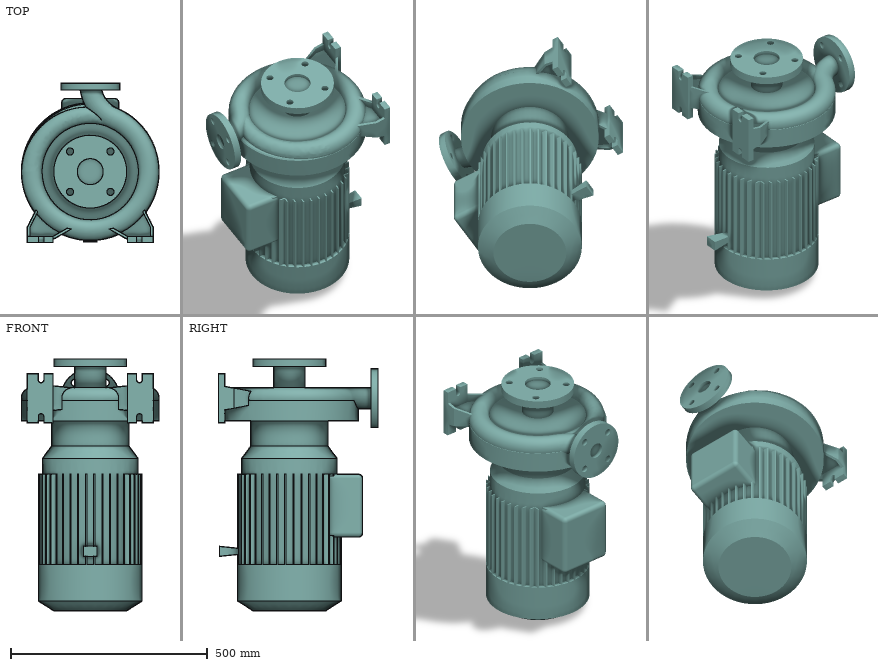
import cadquery as cq
import math


FAN_COVER_RADIUS = 132
FAN_COVER_END_RADIUS = 92.5
FAN_COVER_CONE_TOP_Z = 25
FAN_COVER_TOP_Z = 118
MOTOR_RADIUS = 121.5
FIN_TOP_Z = 347
MOTOR_TOP_Z = 387
LANTERN_BOTTOM_Z = 418
LANTERN_RADIUS = 98.5

FINS_PER_QUARTER = 10
FIN_THICKNESS = 3
FIN_TIP_RADIUS = 132
FIN_ROOT_OVERLAP = 2
FIN_PITCH_ANGLE = 90 / FINS_PER_QUARTER

BOX_WIDTH = 145
BOX_HEIGHT = 160
BOX_FACE_Y = 186
BOX_EDGE_RADIUS = 11

LUG_WIDTH = 34
LUG_HEIGHT = 26
LUG_FACE_Y = -178
LUG_CENTER_Z = 151
LUG_LENGTH = 58
LUG_TAPER = 6

CASING_RADIUS = 175
CASING_BOTTOM_Z = 482
CASING_TOP_Z = 537
CASING_CHAMFER = 3
OUTLET_Z = 540
TUBE_RADIUS = 27
VOLUTE_RADIUS = CASING_RADIUS - TUBE_RADIUS
VOLUTE_INNER_RADIUS = VOLUTE_RADIUS - TUBE_RADIUS
TONGUE_TUBE_RADIUS = 20
TAPER_START_ANGLE = 180
TAPER_SECTIONS = 5
COVER_RIM_Z = 548
COVER_HUB_Z = 560

SUCTION_FACE_Z = 640
SUCTION_FLANGE_RADIUS = 92.5
SUCTION_FLANGE_THICKNESS = 20
SUCTION_BOLT_CIRCLE_RADIUS = 72.5
SUCTION_BORE_RADIUS = 33
SUCTION_NECK_RADIUS = 40

OUTLET_FACE_Y = 225
OUTLET_FLANGE_RADIUS = 75
OUTLET_FLANGE_THICKNESS = 18
OUTLET_BOLT_CIRCLE_RADIUS = 55
OUTLET_BORE_RADIUS = 20

BOLT_HOLE_RADIUS = 9
BOLT_COUNT = 4
BORE_DEPTH = 10

FOOT_FACE_Y = -180
FOOT_THICKNESS = 16
FOOT_BACK_Y = FOOT_FACE_Y + FOOT_THICKNESS
FOOT_INNER_X = 94
FOOT_OUTER_X = 160
FOOT_HEIGHT = 125
SLOT_X = 125
SLOT_WIDTH = 14
SLOT_DEPTH = 23
WEB_THICKNESS = 7
WEB_HALF_HEIGHT = 30
WEB_TAPER = 0.19
OUTER_WEB_BEND_Y = -141
OUTER_WEB_RUN_X = 28
OUTER_WEB_RUN_Y = 56
INNER_WEB_RUN_X = 55
INNER_WEB_ANGLE = 30
GUSSET_THICKNESS = 20

BEND_RADIUS = (OUTLET_FACE_Y**2 - VOLUTE_RADIUS**2) / (2 * VOLUTE_RADIUS)
BEND_ANGLE = math.degrees(math.atan2(OUTLET_FACE_Y, BEND_RADIUS))


def polar(radius, angle):
    """Point in the XY plane at a radius and an angle in degrees."""
    a = math.radians(angle)
    return (radius * math.cos(a), radius * math.sin(a))


def make_round_body():
    """Fan cover, motor, lantern, casing, shallow casing cover and suction neck as one turned solid."""
    profile = [
        (0, 0),
        (FAN_COVER_END_RADIUS, 0),
        (FAN_COVER_RADIUS, FAN_COVER_CONE_TOP_Z),
        (FAN_COVER_RADIUS, FAN_COVER_TOP_Z),
        (MOTOR_RADIUS, FAN_COVER_TOP_Z),
        (MOTOR_RADIUS, MOTOR_TOP_Z),
        (LANTERN_RADIUS, LANTERN_BOTTOM_Z),
        (LANTERN_RADIUS, CASING_BOTTOM_Z),
        (CASING_RADIUS, CASING_BOTTOM_Z),
        (CASING_RADIUS, CASING_TOP_Z - CASING_CHAMFER),
        (CASING_RADIUS - CASING_CHAMFER, CASING_TOP_Z),
        (VOLUTE_RADIUS, CASING_TOP_Z),
        (VOLUTE_INNER_RADIUS + TONGUE_TUBE_RADIUS / 2, COVER_RIM_Z),
        (VOLUTE_INNER_RADIUS, COVER_RIM_Z),
        (SUCTION_NECK_RADIUS, COVER_HUB_Z),
        (SUCTION_NECK_RADIUS, SUCTION_FACE_Z),
        (0, SUCTION_FACE_Z),
    ]
    return cq.Workplane("XZ").polyline(profile).close().revolve(360, (0, 0), (0, 1))


def make_fins():
    """Fins between the fan cover and the upper motor end.

    Their tips are evenly spaced around the motor. Flat slabs parallel to X make the fins of the
    two quarters centred on X, the same slabs turned make those centred on Y, and a ring trims them all.
    """
    height = FIN_TOP_Z - FAN_COVER_TOP_Z
    offsets = [polar(FIN_TIP_RADIUS, (i + 0.5) * FIN_PITCH_ANGLE - 45)[1] for i in range(FINS_PER_QUARTER)]
    slabs = (
        cq.Workplane("XY")
        .pushPoints([(0, offset) for offset in offsets])
        .rect(2 * FIN_TIP_RADIUS, FIN_THICKNESS)
        .extrude(height)
    )
    root_radius = MOTOR_RADIUS - FIN_ROOT_OVERLAP
    ring = cq.Workplane("XY").circle(FIN_TIP_RADIUS).circle(root_radius).extrude(height)
    fins = ring.intersect(slabs).union(ring.intersect(slabs.rotate((0, 0, 0), (0, 0, 1), 90)))
    return fins.translate((0, 0, FAN_COVER_TOP_Z))


def make_terminal_box():
    """Box level with the fin tops, rounded on its outer edges."""
    return (
        cq.Workplane("XY")
        .box(BOX_WIDTH, BOX_FACE_Y, BOX_HEIGHT, centered=(True, False, False))
        .edges("|Y or >Y")
        .fillet(BOX_EDGE_RADIUS)
        .translate((0, 0, FIN_TOP_Z - BOX_HEIGHT))
    )


def make_lug():
    """Lug that widens away from the motor."""
    return (
        cq.Workplane("XZ", origin=(0, LUG_FACE_Y, LUG_CENTER_Z))
        .rect(LUG_WIDTH, LUG_HEIGHT)
        .workplane(offset=-LUG_LENGTH)
        .rect(LUG_WIDTH - 2 * LUG_TAPER, LUG_HEIGHT - 2 * LUG_TAPER)
        .loft(ruled=True)
    )


def tube_section(tube_radius, angle):
    """Tube circle in the radial plane at an angle, touching the inner edge of the volute."""
    x, y = polar(VOLUTE_INNER_RADIUS + tube_radius, angle)
    tangent = cq.Vector(*polar(1, angle + 90), 0)
    return cq.Wire.makeCircle(tube_radius, cq.Vector(x, y, OUTLET_Z), tangent)


def make_volute():
    """Full-size tube from the taper to the outlet bend, around the -Y side."""
    sweep_angle = 360 + BEND_ANGLE - TAPER_START_ANGLE
    tube = cq.Workplane(obj=tube_section(TUBE_RADIUS, TAPER_START_ANGLE)).toPending()
    return tube.revolve(sweep_angle, (0, 0, 0), (0, 0, 1))


def make_volute_taper():
    """Start of the volute, shrinking from the full tube towards the tongue beside the outlet bend."""
    sections = []
    for i in range(TAPER_SECTIONS):
        share = i / (TAPER_SECTIONS - 1)
        tube_radius = TUBE_RADIUS + share * (TONGUE_TUBE_RADIUS - TUBE_RADIUS)
        angle = TAPER_START_ANGLE + share * (BEND_ANGLE - TAPER_START_ANGLE)
        sections.append(tube_section(tube_radius, angle))
    return cq.Solid.makeLoft(sections)


def make_outlet_bend():
    """Tube bending from the volute tangent to the outlet direction."""
    start = polar(VOLUTE_RADIUS, BEND_ANGLE)
    middle = polar(BEND_RADIUS, 180 + BEND_ANGLE / 2)
    path = (
        cq.Workplane("XY", origin=(0, 0, OUTLET_Z))
        .moveTo(*start)
        .threePointArc((BEND_RADIUS + middle[0], OUTLET_FACE_Y + middle[1]), (0, OUTLET_FACE_Y))
    )
    return cq.Workplane(obj=tube_section(TUBE_RADIUS, BEND_ANGLE)).toPending().sweep(path)


def make_flange(radius, thickness, bolt_circle_radius):
    """Drilled disc, face on Z = 0 and body below it, with bolt holes astride the axes."""
    return (
        cq.Workplane("XY")
        .circle(radius)
        .extrude(-thickness)
        .faces(">Z")
        .workplane()
        .polarArray(bolt_circle_radius, 180 / BOLT_COUNT, 360, BOLT_COUNT)
        .circle(BOLT_HOLE_RADIUS)
        .cutThruAll()
    )


def make_bore(radius):
    """Blind bore below a flange face on Z = 0."""
    return cq.Workplane("XY").circle(radius).extrude(-BORE_DEPTH)


def place_on_outlet(shape):
    """Turn a shape built below Z = 0 to face +Y and move it to the outlet."""
    return shape.rotate((0, 0, 0), (1, 0, 0), -90).translate((0, OUTLET_FACE_Y, OUTLET_Z))


def make_foot():
    """Foot on the +X side: slotted plate, two webs and a level gusset, centred on Z = 0."""
    width = FOOT_OUTER_X - FOOT_INNER_X
    plate = cq.Workplane("XY").box(width, FOOT_THICKNESS, FOOT_HEIGHT)
    plate = plate.translate((FOOT_INNER_X + width / 2, FOOT_FACE_Y + FOOT_THICKNESS / 2, 0))
    slot_length = 2 * SLOT_DEPTH
    slots = (
        cq.Workplane("XZ", origin=(SLOT_X, FOOT_BACK_Y, 0))
        .pushPoints([(0, FOOT_HEIGHT / 2), (0, -FOOT_HEIGHT / 2)])
        .slot2D(slot_length, SLOT_WIDTH, 90)
        .extrude(FOOT_THICKNESS)
    )

    outer_end_x = FOOT_OUTER_X - OUTER_WEB_RUN_X
    outer_end_y = OUTER_WEB_BEND_Y + OUTER_WEB_RUN_Y
    outer_web = [
        (FOOT_OUTER_X, FOOT_BACK_Y),
        (FOOT_OUTER_X, OUTER_WEB_BEND_Y),
        (outer_end_x, outer_end_y),
        (outer_end_x - WEB_THICKNESS, outer_end_y),
        (FOOT_OUTER_X - WEB_THICKNESS, OUTER_WEB_BEND_Y),
        (FOOT_OUTER_X - WEB_THICKNESS, FOOT_BACK_Y),
    ]
    slope = math.radians(INNER_WEB_ANGLE)
    inner_end_x = FOOT_INNER_X - INNER_WEB_RUN_X
    inner_rise = INNER_WEB_RUN_X * math.tan(slope)
    inner_web_front_y = FOOT_BACK_Y - WEB_THICKNESS / math.cos(slope)
    inner_web = [
        (FOOT_INNER_X, FOOT_BACK_Y),
        (inner_end_x, FOOT_BACK_Y + inner_rise),
        (inner_end_x, inner_web_front_y + inner_rise),
        (FOOT_INNER_X, inner_web_front_y),
    ]
    gusset = [
        (FOOT_INNER_X, FOOT_BACK_Y),
        (inner_end_x, FOOT_BACK_Y + inner_rise),
        (outer_end_x, outer_end_y),
        (FOOT_OUTER_X, OUTER_WEB_BEND_Y),
        (FOOT_OUTER_X, FOOT_BACK_Y),
    ]

    web_reach = outer_end_y - FOOT_FACE_Y
    front_half_height = WEB_HALF_HEIGHT + WEB_TAPER * FOOT_THICKNESS
    back_half_height = front_half_height - WEB_TAPER * web_reach
    web_envelope = (
        cq.Workplane("YZ")
        .polyline([
            (FOOT_FACE_Y, -front_half_height),
            (outer_end_y, -back_half_height),
            (outer_end_y, back_half_height),
            (FOOT_FACE_Y, front_half_height),
        ])
        .close()
        .extrude(FOOT_OUTER_X)
    )
    foot = plate.cut(slots)
    for outline in (outer_web, inner_web):
        web = cq.Workplane("XY").polyline(outline).close().extrude(front_half_height, both=True)
        foot = foot.union(web.intersect(web_envelope))
    return foot.union(cq.Workplane("XY").polyline(gusset).close().extrude(GUSSET_THICKNESS / 2, both=True))


suction_flange = make_flange(SUCTION_FLANGE_RADIUS, SUCTION_FLANGE_THICKNESS, SUCTION_BOLT_CIRCLE_RADIUS)
outlet_flange = make_flange(OUTLET_FLANGE_RADIUS, OUTLET_FLANGE_THICKNESS, OUTLET_BOLT_CIRCLE_RADIUS)
foot = make_foot().translate((0, 0, OUTLET_Z))

result = (
    make_round_body()
    .union(make_fins())
    .union(make_terminal_box())
    .union(make_lug())
    .union(make_volute())
    .union(cq.Workplane(obj=make_volute_taper()))
    .union(make_outlet_bend())
    .union(suction_flange.translate((0, 0, SUCTION_FACE_Z)))
    .union(place_on_outlet(outlet_flange))
    .union(foot)
    .union(foot.mirror("YZ"))
    .cut(make_bore(SUCTION_BORE_RADIUS).translate((0, 0, SUCTION_FACE_Z)))
    .cut(place_on_outlet(make_bore(OUTLET_BORE_RADIUS)))
)